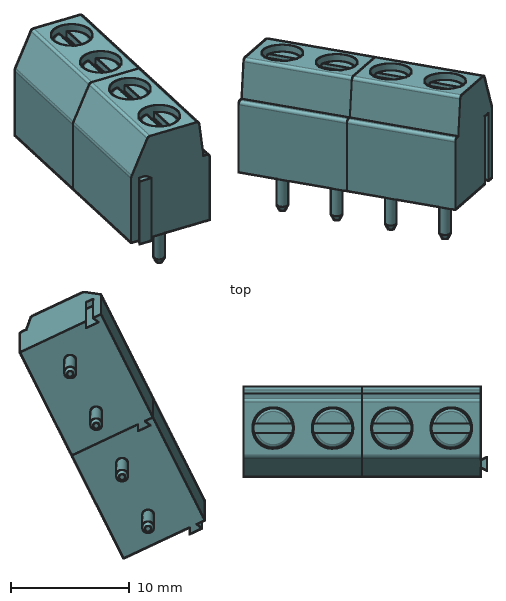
import cadquery as cq

module_count = 2
poles_per_module = 2
pole_pitch = 5.0
module_width = 9.98
first_pole_x = pole_pitch / 2

housing_depth = 7.6
housing_height = 10.0
shoulder_height = 6.5
rear_ledge_width = 0.62
rear_top_inset = 1.05
front_top_inset = 1.65
edge_radius = 0.3
front_knee_radius = 0.62

pole_axis_y = 4.1
screw_hole_diameter = 3.48
screw_hole_depth = 1.5
screw_diameter = 3.32
screw_recess = 0.51
screw_edge_radius = 0.27
slot_width = 0.8
slot_depth = 0.72

pin_diameter = 1.0
pin_length = 4.35
pin_tip_length = 0.5
pin_tip_inset = 0.25

dovetail_y = 1.09
dovetail_length = 0.53
dovetail_root_width = 0.65
dovetail_tip_width = 1.17
dovetail_height = 6.2


def housing_block():
    """Constant side profile drawn in YZ and extruded along X, with its long edges rounded."""
    rear_shoulder = (housing_depth, shoulder_height)
    rear_top = (housing_depth - rear_top_inset, housing_height)
    front_top = (front_top_inset, housing_height)
    front_knee = (0, shoulder_height)
    block = (
        cq.Workplane("YZ")
        .moveTo(0, 0)
        .lineTo(housing_depth, 0)
        .lineTo(*rear_shoulder)
        .lineTo(housing_depth - rear_ledge_width, shoulder_height)
        .lineTo(*rear_top)
        .lineTo(*front_top)
        .lineTo(*front_knee)
        .close()
        .extrude(module_width)
    )

    def long_edge(corner):
        return cq.selectors.NearestToPointSelector((module_width / 2, *corner))

    for corner in (rear_shoulder, rear_top, front_top):
        block = block.edges(long_edge(corner)).fillet(edge_radius)
    return block.edges(long_edge(front_knee)).fillet(front_knee_radius)


def dovetail(x):
    """Upright dovetail bar that widens from its root at x toward +X."""
    return (
        cq.Workplane("XY")
        .moveTo(x, dovetail_y - dovetail_root_width / 2)
        .lineTo(x + dovetail_length, dovetail_y - dovetail_tip_width / 2)
        .lineTo(x + dovetail_length, dovetail_y + dovetail_tip_width / 2)
        .lineTo(x, dovetail_y + dovetail_root_width / 2)
        .close()
        .extrude(dovetail_height)
    )


def screw_hole(x):
    """Round well in the top face, around the screw."""
    floor = housing_height - screw_hole_depth
    return (
        cq.Workplane("XY", origin=(x, pole_axis_y, floor))
        .circle(screw_hole_diameter / 2)
        .extrude(screw_hole_depth)
    )


def screw(x):
    """Slotted screw head with a rounded rim, standing on the floor of its well."""
    floor = housing_height - screw_hole_depth
    head_height = screw_hole_depth - screw_recess
    head = (
        cq.Workplane("XY", origin=(x, pole_axis_y, floor))
        .circle(screw_diameter / 2)
        .extrude(head_height)
        .faces(">Z")
        .edges()
        .fillet(screw_edge_radius)
    )
    slot = (
        cq.Workplane("XY", origin=(x, pole_axis_y, floor + head_height - slot_depth))
        .rect(screw_diameter, slot_width)
        .extrude(slot_depth)
    )
    return head.cut(slot)


def pin(x):
    """Solder pin below the housing, with a tapered tip."""
    return (
        cq.Workplane("XY", origin=(x, pole_axis_y, 0))
        .circle(pin_diameter / 2)
        .extrude(-pin_length)
        .faces("<Z")
        .edges()
        .chamfer(pin_tip_length, pin_tip_inset)
    )


def terminal_module():
    """One terminal block: housing with screws and pins, socket on -X and key on +X."""
    body = housing_block().cut(dovetail(0)).union(dovetail(module_width))
    for pole in range(poles_per_module):
        pole_x = first_pole_x + pole * pole_pitch
        body = body.cut(screw_hole(pole_x)).union(screw(pole_x)).union(pin(pole_x))
    return body


modules = [
    terminal_module().translate((index * module_width, 0, 0)).val()
    for index in range(module_count)
]

result = cq.Compound.makeCompound(modules)